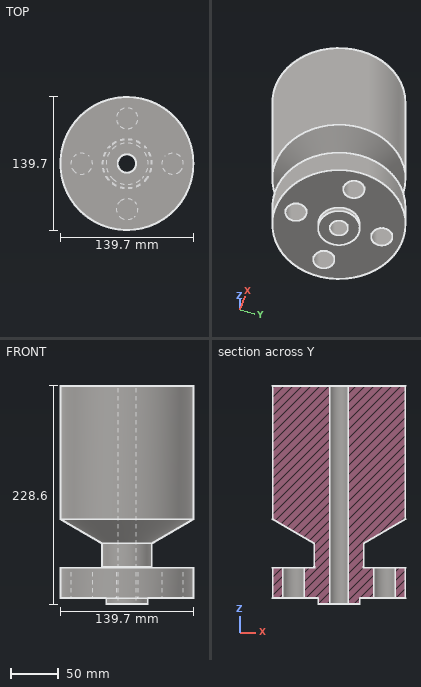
import cadquery as cq

outer_diameter = 139.7
neck_diameter = 52.4
neck_base_chamfer = 1.0
boss_diameter = 43.7
bore_diameter = 19.05

boss_height = 6.35
flange_thickness = 31.75
neck_height = 25.4
cone_height = 25.4
body_height = 139.7

bolt_hole_diameter = 22.225
bolt_circle_diameter = 95.25
bolt_hole_count = 4

flange_bottom = boss_height
flange_top = flange_bottom + flange_thickness
neck_top = flange_top + neck_height
cone_top = neck_top + cone_height
body_top = cone_top + body_height


def turned_body():
    """Boss, flange, neck (chamfered at its foot), cone and cylinder revolved about Z."""
    outer_radius = outer_diameter / 2
    neck_radius = neck_diameter / 2
    boss_radius = boss_diameter / 2
    profile = [
        (0, 0),
        (boss_radius, 0),
        (boss_radius, flange_bottom),
        (outer_radius, flange_bottom),
        (outer_radius, flange_top),
        (neck_radius - neck_base_chamfer, flange_top),
        (neck_radius, flange_top + neck_base_chamfer),
        (neck_radius, neck_top),
        (outer_radius, cone_top),
        (outer_radius, body_top),
        (0, body_top),
    ]
    return cq.Workplane("XZ").polyline(profile).close().revolve(360, (0, 0), (0, 1))


def central_bore():
    """Through bore along the whole axis."""
    return cq.Workplane("XY").circle(bore_diameter / 2).extrude(body_top)


def bolt_holes():
    """Bolt holes through the flange, the first one on the +X axis."""
    return (
        cq.Workplane("XY", origin=(0, 0, flange_bottom))
        .polarArray(bolt_circle_diameter / 2, 0, 360, bolt_hole_count)
        .circle(bolt_hole_diameter / 2)
        .extrude(flange_thickness)
    )


result = turned_body().cut(central_bore()).cut(bolt_holes())